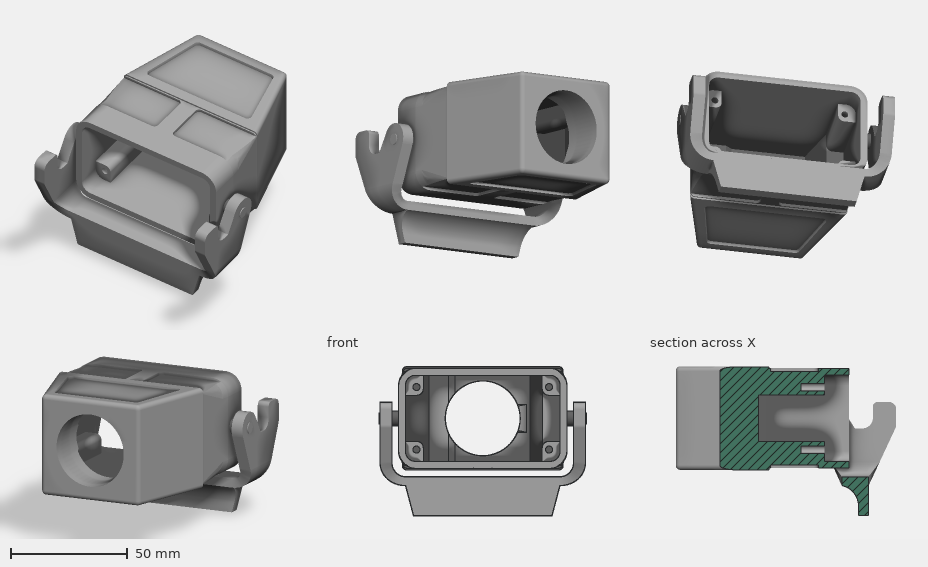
import cadquery as cq
import math


BACK_Y = 74.2
SHOULDER_Y = 34.2
BLOCK_HALF_WIDTH = 34.5
BACK_HALF_WIDTH = 23.1
BLOCK_HALF_HEIGHT = 22.2
BLOCK_FILLET = 2.0

RIM_HALF_WIDTH = 36.15
NECK_HALF_HEIGHT = 21.45
RIM_CORNER_RADIUS = 7.5
RIM_LENGTH = 13.2
TRANSITION_Y = 17.5
NECK_REAR_Y = 33.6
NECK_REAR_HALF_WIDTH = 34.3
NECK_REAR_RADIUS = 2.0

GRIP_DEPTH = 1.3
GRIP_FRONT_Y = 13.3
GRIP_REAR_Y = 33.7
GRIP_HALF_GAP = 4.0
GRIP_RADIUS = 2.0

LABEL_DEPTH = 1.2
LABEL_FRONT_Y = 39.1
LABEL_REAR_Y = 68.9
LABEL_FRONT_HALF_WIDTH = 27.2
LABEL_REAR_HALF_WIDTH = 19.9
LABEL_RADIUS = 2.0
LABEL_DRAFT = 0.35

CAVITY_HALF_WIDTH = 33.1
CAVITY_HALF_HEIGHT = 18.45
CAVITY_RADIUS = 4.2
LEDGE_Y = 35.5
LEDGE_X = 25.6
FLOOR_RIGHT_X = 20.2
RIGHT_WALL_ANGLE = 75.0
STEP_RIGHT_X = -11.8
STEP_LEFT_X = -14.6
STEP_ANGLE = 36.0
FLOOR_LEFT_X = -23.0
LEFT_WALL_ANGLE = 70.0

ENTRY_DIAMETER = 32.0
RAMP_X = 18.8
RAMP_HALF_HEIGHT = 6.0
RAMP_ANGLE = 20.0
RAMP_SIDE_INSET = 4.0

POST_FRONT_Y = 10.5
POST_INNER_X = 25.5
POST_INNER_Z = 9.9
POST_RADIUS = 2.7
POST_HOLE_X = 28.4
POST_HOLE_Z = 13.4
POST_HOLE_DIAMETER = 3.0
POST_HOLE_DEPTH = 10.0

PIVOT_Y = 8.5
PIN_DIAMETER = 6.5
PIN_END_DIAMETER = 4.8
PIN_END_X = 44.5

PLATE_OUTER_X = 44.1
PLATE_THICKNESS = 5.2
PIVOT_LOBE_RADIUS = 6.9
LOBE_TOP_Z = PIVOT_LOBE_RADIUS
NOTCH_CORNER_Y = -2.6
NOTCH_FLOOR_Z = -4.4
HOOK_INNER_Y = -10.3
HOOK_OUTER_Y = -20.3
HOOK_NOTCH_RADIUS = 4.5
HOOK_INNER_RADIUS = 1.9
HOOK_OUTER_RADIUS = 3.1
HOOK_FLANK_Z = -3.6
HOOK_FLANK_RADIUS = 2.5
BEND_TOP_Z = -19.0
BRIDGE_BOTTOM_Z = -28.9
BRIDGE_THICKNESS = 3.9
BRIDGE_HALF_WIDTH = 33.1
BRIDGE_FRONT_Y = -8.5
BRIDGE_REAR_Y = 3.1
BEND_SECTIONS = 9
LIP_BOTTOM_Z = -41.8
LIP_REAR_Y = -3.9
LIP_HALF_WIDTH = 29.7
LIP_ARC_RADIUS = 8.8


def rounded_section(half_width, half_height, radius, y):
    """Rounded rectangle sketch for the XZ plane, moved to the given Y."""
    sketch = cq.Sketch().rect(2 * half_width, 2 * half_height).vertices().fillet(radius)
    return sketch.moved(cq.Location(cq.Vector(0, 0, -y)))


def make_block():
    """Tapered rear block with rounded edges everywhere but at the shoulder."""
    outline = [
        (-BLOCK_HALF_WIDTH, SHOULDER_Y),
        (BLOCK_HALF_WIDTH, SHOULDER_Y),
        (BACK_HALF_WIDTH, BACK_Y),
        (-BACK_HALF_WIDTH, BACK_Y),
    ]
    block = (
        cq.Workplane("XY", origin=(0, 0, -BLOCK_HALF_HEIGHT))
        .polyline(outline)
        .close()
        .extrude(2 * BLOCK_HALF_HEIGHT)
    )
    return block.faces("not <Y").edges("not <Y").fillet(BLOCK_FILLET)


def make_neck():
    """Neck whose corner radius grows from the shoulder to the rim."""
    flank_share = (NECK_REAR_Y - TRANSITION_Y) / (NECK_REAR_Y - RIM_LENGTH)
    transition_half_width = NECK_REAR_HALF_WIDTH + flank_share * (RIM_HALF_WIDTH - NECK_REAR_HALF_WIDTH)
    sections = [
        (NECK_REAR_HALF_WIDTH, NECK_REAR_RADIUS, SHOULDER_Y),
        (NECK_REAR_HALF_WIDTH, NECK_REAR_RADIUS, NECK_REAR_Y),
        (transition_half_width, RIM_CORNER_RADIUS, TRANSITION_Y),
        (RIM_HALF_WIDTH, RIM_CORNER_RADIUS, RIM_LENGTH),
        (RIM_HALF_WIDTH, RIM_CORNER_RADIUS, 0),
    ]
    sketches = [rounded_section(width, NECK_HALF_HEIGHT, radius, y) for width, radius, y in sections]
    return cq.Workplane("XZ").placeSketch(*sketches).loft(ruled=True).clean()


def make_grip_recesses():
    """Cutters for the two recesses on each broad side of the neck, open to the flanks."""
    length = GRIP_REAR_Y - GRIP_FRONT_Y
    width = RIM_HALF_WIDTH
    cutters = cq.Workplane()
    for side in (-1, 1):
        center = (side * (GRIP_HALF_GAP + width / 2), (GRIP_FRONT_Y + GRIP_REAR_Y) / 2)
        for level in (-NECK_HALF_HEIGHT - GRIP_DEPTH, NECK_HALF_HEIGHT - GRIP_DEPTH):
            cutter = (
                cq.Workplane("XY", origin=(0, 0, level))
                .center(*center)
                .rect(width, length)
                .extrude(2 * GRIP_DEPTH)
                .edges("|Z")
                .fillet(GRIP_RADIUS)
            )
            cutters = cutters.add(cutter)
    return cutters.combine()


def make_label_recesses():
    """Cutters for the trapezoidal label recess on each broad side of the block."""
    sketches = []
    for inset, level in ((LABEL_DRAFT, BLOCK_HALF_HEIGHT - LABEL_DEPTH), (0, BLOCK_HALF_HEIGHT)):
        front = LABEL_FRONT_HALF_WIDTH - inset
        rear = LABEL_REAR_HALF_WIDTH - inset
        rear_y = LABEL_REAR_Y - inset
        outline = [
            (-front, LABEL_FRONT_Y),
            (front, LABEL_FRONT_Y),
            (rear, rear_y),
            (-rear, rear_y),
            (-front, LABEL_FRONT_Y),
        ]
        sketch = cq.Sketch().polygon(outline).vertices().fillet(LABEL_RADIUS)
        sketches.append(sketch.moved(cq.Location(cq.Vector(0, 0, level))))
    cutter = cq.Workplane("XY").placeSketch(*sketches).loft(ruled=True)
    return cutter.add(cutter.mirror("XY")).combine()


def rise(run, angle):
    """Height gained over a run by a face sloping at the given angle in degrees."""
    return run * math.tan(math.radians(angle))


FLOOR_Y = LEDGE_Y + rise(LEDGE_X - FLOOR_RIGHT_X, RIGHT_WALL_ANGLE)
FLOOR_LEFT_Y = FLOOR_Y - rise(STEP_RIGHT_X - STEP_LEFT_X, STEP_ANGLE)
LEFT_WALL_Y = FLOOR_LEFT_Y - rise(FLOOR_LEFT_X + CAVITY_HALF_WIDTH, LEFT_WALL_ANGLE)


def make_cavity():
    """Interior: straight mouth, sloping side walls and a stepped floor."""
    outline = [
        (-CAVITY_HALF_WIDTH, 0),
        (CAVITY_HALF_WIDTH, 0),
        (CAVITY_HALF_WIDTH, LEDGE_Y),
        (LEDGE_X, LEDGE_Y),
        (FLOOR_RIGHT_X, FLOOR_Y),
        (STEP_RIGHT_X, FLOOR_Y),
        (STEP_LEFT_X, FLOOR_LEFT_Y),
        (FLOOR_LEFT_X, FLOOR_LEFT_Y),
        (-CAVITY_HALF_WIDTH, LEFT_WALL_Y),
    ]
    plan = (
        cq.Workplane("XY", origin=(0, 0, -CAVITY_HALF_HEIGHT))
        .polyline(outline)
        .close()
        .extrude(2 * CAVITY_HALF_HEIGHT)
    )
    mouth = (
        cq.Workplane("XZ")
        .rect(2 * CAVITY_HALF_WIDTH, 2 * CAVITY_HALF_HEIGHT)
        .extrude(-BACK_Y)
        .edges("|Y")
        .fillet(CAVITY_RADIUS)
    )
    return plan.intersect(mouth)


def make_ramp():
    """Low ramp on the cavity floor that rises towards the cable entry."""
    height = rise(RAMP_X, RAMP_ANGLE)
    wedge = (
        cq.Workplane("XY", origin=(0, 0, -RAMP_HALF_HEIGHT))
        .polyline([(0, FLOOR_Y), (RAMP_X, FLOOR_Y), (0, FLOOR_Y - height)])
        .close()
        .extrude(2 * RAMP_HALF_HEIGHT)
    )
    top_half_height = RAMP_HALF_HEIGHT - RAMP_SIDE_INSET
    sides = [
        (FLOOR_Y, -RAMP_HALF_HEIGHT),
        (FLOOR_Y - height, -top_half_height),
        (FLOOR_Y - height, top_half_height),
        (FLOOR_Y, RAMP_HALF_HEIGHT),
    ]
    flare = cq.Workplane("YZ").polyline(sides).close().extrude(RAMP_X)
    return wedge.intersect(flare)


def make_entry():
    """Cutter for the round cable entry."""
    return cq.Workplane("XZ").circle(ENTRY_DIAMETER / 2).extrude(-2 * BACK_Y)


def make_posts():
    """Four screw posts in the cavity corners, cut to fit the cavity later."""
    width = RIM_HALF_WIDTH - POST_INNER_X
    height = NECK_HALF_HEIGHT - POST_INNER_Z
    post = (
        cq.Workplane("XZ", origin=(0, POST_FRONT_Y, 0))
        .center(POST_INNER_X + width / 2, POST_INNER_Z + height / 2)
        .rect(width, height)
        .extrude(POST_FRONT_Y - BACK_Y)
        .edges("|Y and <X and <Z")
        .fillet(POST_RADIUS)
    )
    hole = (
        cq.Workplane("XZ", origin=(0, POST_FRONT_Y, 0))
        .center(POST_HOLE_X, POST_HOLE_Z)
        .circle(POST_HOLE_DIAMETER / 2)
        .extrude(-POST_HOLE_DEPTH)
    )
    post = post.cut(hole)
    pair = post.add(post.mirror("YZ")).combine()
    return pair.add(pair.mirror("XY")).combine()


def make_hood():
    """Complete hood without pins."""
    shell = make_block().union(make_neck())
    shell = shell.cut(make_grip_recesses()).cut(make_label_recesses())
    cavity = make_cavity().cut(make_posts()).cut(make_ramp())
    return shell.cut(cavity).cut(make_entry())


def make_pins():
    """Pivot pins, rooted in the middle of the hood wall, joining the lever plates to the hood."""
    root_x = (CAVITY_HALF_WIDTH + RIM_HALF_WIDTH) / 2
    pins = cq.Workplane()
    for side in (-1, 1):
        pin = (
            cq.Workplane("YZ", origin=(side * root_x, PIVOT_Y, 0))
            .circle(PIN_DIAMETER / 2)
            .extrude(side * (PLATE_OUTER_X - root_x))
        )
        end = (
            cq.Workplane("YZ", origin=(side * root_x, PIVOT_Y, 0))
            .circle(PIN_END_DIAMETER / 2)
            .extrude(side * (PIN_END_X - root_x))
        )
        pins = pins.add(pin).add(end)
    return pins.combine()


def tangent_point(y, z, turn):
    """Point where a tangent from (y, z) touches the pivot lobe; turn picks the side."""
    distance = math.hypot(y - PIVOT_Y, z)
    angle = math.atan2(z, y - PIVOT_Y) + turn * math.acos(PIVOT_LOBE_RADIUS / distance)
    return (
        PIVOT_Y + PIVOT_LOBE_RADIUS * math.cos(angle),
        PIVOT_LOBE_RADIUS * math.sin(angle),
    )


LOBE_REAR = tangent_point(BRIDGE_REAR_Y, BRIDGE_BOTTOM_Z, 1)
LOBE_FRONT = tangent_point(NOTCH_CORNER_Y, NOTCH_FLOOR_Z, -1)


def rear_edge(z):
    """Y of the lever's rear edge at height z."""
    share = (z - BRIDGE_BOTTOM_Z) / (LOBE_REAR[1] - BRIDGE_BOTTOM_Z)
    return BRIDGE_REAR_Y + share * (LOBE_REAR[0] - BRIDGE_REAR_Y)


def front_edge(z):
    """Y of the lever's front edge at height z."""
    share = (z - BRIDGE_BOTTOM_Z) / (HOOK_FLANK_Z - BRIDGE_BOTTOM_Z)
    return BRIDGE_FRONT_Y + share * (HOOK_OUTER_Y - BRIDGE_FRONT_Y)


def make_plate():
    """Right-hand lever plate: pivot lobe, latch notch and hook."""
    plate = (
        cq.Workplane("YZ", origin=(PLATE_OUTER_X - PLATE_THICKNESS, 0, 0))
        .moveTo(rear_edge(BEND_TOP_Z), BEND_TOP_Z)
        .lineTo(*LOBE_REAR)
        .threePointArc((PIVOT_Y, LOBE_TOP_Z), LOBE_FRONT)
        .lineTo(NOTCH_CORNER_Y, NOTCH_FLOOR_Z)
        .lineTo(HOOK_INNER_Y, NOTCH_FLOOR_Z)
        .lineTo(HOOK_INNER_Y, LOBE_TOP_Z)
        .lineTo(HOOK_OUTER_Y, LOBE_TOP_Z)
        .lineTo(HOOK_OUTER_Y, HOOK_FLANK_Z)
        .lineTo(front_edge(BEND_TOP_Z), BEND_TOP_Z)
        .close()
        .extrude(PLATE_THICKNESS)
    )
    corners = [
        (HOOK_INNER_Y, NOTCH_FLOOR_Z, HOOK_NOTCH_RADIUS),
        (HOOK_INNER_Y, LOBE_TOP_Z, HOOK_INNER_RADIUS),
        (HOOK_OUTER_Y, LOBE_TOP_Z, HOOK_OUTER_RADIUS),
        (HOOK_OUTER_Y, HOOK_FLANK_Z, HOOK_FLANK_RADIUS),
    ]
    for y, z, radius in corners:
        corner = cq.selectors.NearestToPointSelector((PLATE_OUTER_X - PLATE_THICKNESS / 2, y, z))
        plate = plate.edges("|X").edges(corner).fillet(radius)
    return plate


def make_bend():
    """Right-hand bend; its end faces stay square to the sheet all the way round."""
    outer_width = PLATE_OUTER_X - BRIDGE_HALF_WIDTH
    outer_height = BEND_TOP_Z - BRIDGE_BOTTOM_Z
    wires = []
    for index in range(BEND_SECTIONS):
        angle = math.radians(90 * index / (BEND_SECTIONS - 1))
        outer_x = BRIDGE_HALF_WIDTH + outer_width * math.cos(angle)
        outer_z = BEND_TOP_Z - outer_height * math.sin(angle)
        inner_x = BRIDGE_HALF_WIDTH + (outer_width - PLATE_THICKNESS) * math.cos(angle)
        inner_z = BEND_TOP_Z - (outer_height - BRIDGE_THICKNESS) * math.sin(angle)
        front = front_edge(outer_z)
        rear = rear_edge(outer_z)
        corners = [
            (outer_x, front, outer_z),
            (outer_x, rear, outer_z),
            (inner_x, rear, inner_z),
            (inner_x, front, inner_z),
        ]
        wires.append(cq.Wire.makePolygon([cq.Vector(*point) for point in corners], close=True))
    return cq.Workplane(cq.Solid.makeLoft(wires))


def make_bridge():
    """Bridge between the bends and the tapering finger lip below it."""
    bridge = (
        cq.Workplane("YZ", origin=(-BRIDGE_HALF_WIDTH, 0, 0))
        .moveTo(BRIDGE_FRONT_Y, BRIDGE_BOTTOM_Z + BRIDGE_THICKNESS)
        .lineTo(BRIDGE_REAR_Y, BRIDGE_BOTTOM_Z + BRIDGE_THICKNESS)
        .lineTo(BRIDGE_REAR_Y, BRIDGE_BOTTOM_Z)
        .radiusArc((LIP_REAR_Y, BRIDGE_BOTTOM_Z - LIP_ARC_RADIUS), -LIP_ARC_RADIUS)
        .lineTo(LIP_REAR_Y, LIP_BOTTOM_Z)
        .lineTo(BRIDGE_FRONT_Y, LIP_BOTTOM_Z)
        .close()
        .extrude(2 * BRIDGE_HALF_WIDTH)
    )
    outline = [
        (-BRIDGE_HALF_WIDTH, BRIDGE_BOTTOM_Z + BRIDGE_THICKNESS),
        (BRIDGE_HALF_WIDTH, BRIDGE_BOTTOM_Z + BRIDGE_THICKNESS),
        (BRIDGE_HALF_WIDTH, BRIDGE_BOTTOM_Z),
        (LIP_HALF_WIDTH, LIP_BOTTOM_Z),
        (-LIP_HALF_WIDTH, LIP_BOTTOM_Z),
        (-BRIDGE_HALF_WIDTH, BRIDGE_BOTTOM_Z),
    ]
    front_shape = (
        cq.Workplane("XZ", origin=(0, BRIDGE_FRONT_Y, 0))
        .polyline(outline)
        .close()
        .extrude(BRIDGE_FRONT_Y - BRIDGE_REAR_Y)
    )
    return bridge.intersect(front_shape)


def make_lever():
    """Locking lever: two plates, two bends and the bridge."""
    arm = make_plate().union(make_bend())
    return make_bridge().union(arm).union(arm.mirror("YZ"))


result = make_hood().union(make_pins()).union(make_lever())